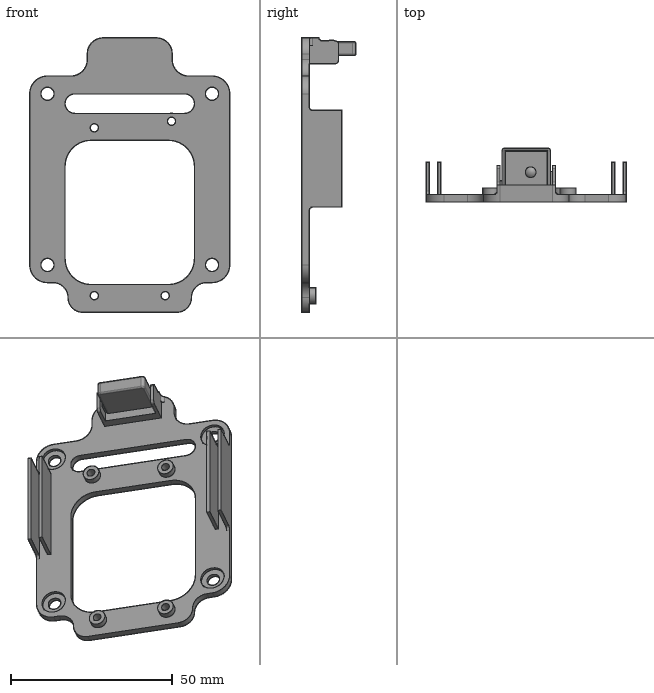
import cadquery as cq
import math

plate_width = 62.0
plate_height = 85.0
plate_thickness = 2.4
shoulder_bottom = 9.2
shoulder_top = 73.2
corner_radius = 5.5
top_tab_half_width = 13.2
top_tab_radius = 5.0
bottom_tab_half_width = 19.1
bottom_tab_radius = 4.6

mount_hole_diameter = 4.0
counterbore_diameter = 7.5
mount_hole_floor = 1.4
opening_width = 39.95
slot_height = 5.95
slot_z = 64.6
window_bottom = 8.7
window_top = 53.2
window_radius = 8.0

boss_diameter = 5.0
boss_height = 2.0
pilot_diameter = 2.5
boss_x = 11.0
boss_z = 5.2
boss_centers = [(-boss_x, boss_z), (boss_x, boss_z), (-boss_x, 57.1), (12.9, 59.2)]

wall_thickness = 1.0
guide_depth = 10.0
guide_bottom = 32.55
guide_length = 30.0
guide_gap = 2.55
root_radius = 1.0

holder_half_width = 9.1
holder_back = 11.4
holder_height = 8.1
holder_step = 0.9
holder_radius = 1.0
bridge_back = 5.35
holder_root_height = 2.4
left_web_back = 6.6
right_web_back = 9.5

plug_half_width = 7.6
plug_back = 16.75
plug_drop = 1.2
plug_height = 4.3
plug_corner_radius = 1.0
plug_edge_radius = 0.5
panel_half_width = 6.4
panel_back = 15.7
panel_depth = 0.25
dome_x = 1.4
dome_y = 9.3
dome_diameter = 3.3
dome_height = 0.8

half_width = plate_width / 2
plate_middle = plate_height / 2


def box(x_range, y_range, z_range):
    """Block spanning the given (low, high) range along each axis."""
    ranges = (x_range, y_range, z_range)
    sizes = [high - low for low, high in ranges]
    return cq.Workplane("XY").box(*sizes, centered=False).translate(tuple(low for low, high in ranges))


def rear_plane(y=0.0):
    """Sketch plane at the given y whose extrusions grow towards +Y; its local axes are (-X, Z)."""
    return cq.Workplane(cq.Plane(origin=(0, y, 0), xDir=(-1, 0, 0), normal=(0, 1, 0)))


def rear_cylinders(centers, diameter, y, length):
    """Cylinders along +Y at the given (x, z) centers."""
    points = [(-x, z) for x, z in centers]
    return rear_plane(y).pushPoints(points).circle(diameter / 2).extrude(length)


def make_holder_root(side):
    """Concave fillet between the plate's rear face and the outside of a cheek, along its top end."""
    strip = box((0, root_radius), (0, root_radius), (0, holder_root_height))
    relief = cq.Workplane("XY").center(root_radius, root_radius).circle(root_radius)
    strip = strip.cut(relief.extrude(holder_root_height))
    if side < 0:
        strip = strip.mirror("YZ")
    return strip.translate((side * holder_half_width, plate_thickness, plate_height - holder_root_height))


def make_outline(depth):
    """Frame outline with its top and bottom tabs, extruded to the given depth."""
    body = rear_plane().center(0, (shoulder_bottom + shoulder_top) / 2)
    body = body.rect(plate_width, shoulder_top - shoulder_bottom).extrude(depth)
    body = body.edges("|Y").fillet(corner_radius)
    tabs = (
        (top_tab_half_width, (plate_middle, plate_height), ">Z", top_tab_radius, shoulder_top, 1),
        (bottom_tab_half_width, (0, plate_middle), "<Z", bottom_tab_radius, shoulder_bottom, -1),
    )
    for tab_half_width, z_range, tab_end, radius, shoulder, outward in tabs:
        tab = box((-tab_half_width, tab_half_width), (0, depth), z_range)
        body = body.union(tab.faces(tab_end).edges("|Y").fillet(radius))
        body = body.union(make_tab_roots(tab_half_width, radius, shoulder, outward, depth))
    return body


def make_tab_roots(tab_half_width, radius, shoulder, outward, depth):
    """Concave fillets where a tab leaves the shoulders; outward is 1 for up, -1 for down."""
    roots = cq.Workplane("XY")
    center_z = shoulder + outward * radius
    for side in (-1, 1):
        center_x = side * (tab_half_width + radius)
        x_range = sorted((side * tab_half_width, center_x))
        root = box(x_range, (0, depth), sorted((shoulder, center_z)))
        roots = roots.add(root.cut(rear_cylinders([(center_x, center_z)], 2 * radius, 0, depth)))
    return roots.combine()


def make_plate():
    """Frame with its slot, window and mounting holes, which are counterbored from the rear."""
    plate = make_outline(plate_thickness)
    slot = rear_plane().center(0, slot_z).slot2D(opening_width, slot_height).extrude(plate_thickness)
    window = box(
        (-opening_width / 2, opening_width / 2),
        (0, plate_thickness),
        (window_bottom, window_top),
    )
    window = window.edges("|Y").fillet(window_radius)
    hole_x = half_width - corner_radius
    hole_heights = (shoulder_bottom + corner_radius, shoulder_top - corner_radius)
    hole_centers = [(x, z) for x in (-hole_x, hole_x) for z in hole_heights]
    holes = rear_cylinders(hole_centers, mount_hole_diameter, 0, plate_thickness)
    counterbores = rear_cylinders(
        hole_centers, counterbore_diameter, mount_hole_floor, plate_thickness - mount_hole_floor
    )
    return plate.cut(slot).cut(window).cut(holes).cut(counterbores)


def make_outer_guide():
    """Wall on the left edge of the plate, flared at its root."""
    back = plate_thickness + guide_depth
    root = plate_thickness + root_radius
    top = guide_bottom + guide_length
    bend = root_radius * (1 - math.sqrt(0.5))
    profile = (
        cq.Workplane("YZ")
        .moveTo(plate_thickness, guide_bottom - root_radius)
        .threePointArc((plate_thickness + bend, guide_bottom - bend), (root, guide_bottom))
        .lineTo(back, guide_bottom)
        .lineTo(back, top)
        .lineTo(root, top)
        .threePointArc((plate_thickness + bend, top + bend), (plate_thickness, top + root_radius))
        .close()
    )
    return profile.extrude(wall_thickness).translate((-half_width, 0, 0))


def make_guides():
    """Outer and inner guide walls on both sides of the frame."""
    inner_x = -half_width + wall_thickness + guide_gap
    inner = box(
        (inner_x, inner_x + wall_thickness),
        (plate_thickness, plate_thickness + guide_depth),
        (guide_bottom, guide_bottom + guide_length),
    )
    left = make_outer_guide().add(inner)
    return left.add(left.mirror("YZ")).combine()


def make_holder_cheek():
    """Side cheek of the plug holder, stepped down behind the bridge, in its place on the left."""
    bottom = plate_height - holder_height
    step_z = plate_height - holder_step
    bend = holder_radius * (1 - math.sqrt(0.5))
    rise_y = bridge_back + holder_step
    profile = (
        cq.Workplane("YZ")
        .moveTo(plate_thickness, bottom)
        .lineTo(holder_back - holder_radius, bottom)
        .threePointArc((holder_back - bend, bottom + bend), (holder_back, bottom + holder_radius))
        .lineTo(holder_back, step_z - holder_radius)
        .threePointArc((holder_back - bend, step_z - bend), (holder_back - holder_radius, step_z))
        .lineTo(rise_y, step_z)
        .radiusArc((bridge_back, plate_height), holder_step)
        .lineTo(plate_thickness, plate_height)
        .close()
    )
    return profile.extrude(wall_thickness).translate((-holder_half_width, 0, 0))


def make_holder():
    """Two cheeks joined by a bridge, with webs to the plug, trimmed to the rounded top tab."""
    inner_half_width = holder_half_width - wall_thickness
    z_range = (plate_height - holder_height, plate_height)
    holder = box((-inner_half_width, inner_half_width), (plate_thickness, bridge_back), z_range)
    cheek = make_holder_cheek()
    holder = holder.union(cheek).union(cheek.mirror("YZ"))
    for side in (-1, 1):
        holder = holder.union(make_holder_root(side))
    plug_top = plate_height - plug_drop
    web_range = (plug_top - plug_height + plug_edge_radius, plug_top - plug_height / 2)
    for side, web_back in ((-1, left_web_back), (1, right_web_back)):
        web_x = sorted((side * plug_half_width, side * inner_half_width))
        holder = holder.union(box(web_x, (bridge_back, web_back), web_range))
    return holder.intersect(make_outline(plug_back))


def make_plug():
    """Plug shell with softened edges, a recessed top panel and a shallow dome on the panel."""
    top = plate_height - plug_drop
    shell = box((-plug_half_width, plug_half_width), (bridge_back, plug_back), (top - plug_height, top))
    shell = shell.edges("|Z and >Y").fillet(plug_corner_radius)
    shell = shell.faces(">Z or <Z").edges("not <Y").fillet(plug_edge_radius)
    panel_z = top - panel_depth
    recess = cq.Workplane("XY").center(0, (panel_back + bridge_back) / 2)
    recess = recess.rect(2 * panel_half_width, panel_back - bridge_back).extrude(panel_depth, taper=-45)
    shell = shell.cut(recess.translate((0, 0, panel_z)))
    dome_radius = ((dome_diameter / 2) ** 2 + dome_height ** 2) / (2 * dome_height)
    ball = cq.Workplane("XY").sphere(dome_radius)
    ball = ball.translate((dome_x, dome_y, panel_z + dome_height - dome_radius))
    dome_x_range = (dome_x - dome_diameter / 2, dome_x + dome_diameter / 2)
    dome_y_range = (dome_y - dome_diameter / 2, dome_y + dome_diameter / 2)
    dome = ball.intersect(box(dome_x_range, dome_y_range, (panel_z - panel_depth, panel_z + dome_height)))
    return shell.union(dome)


bosses = rear_cylinders(boss_centers, boss_diameter, plate_thickness, boss_height)
pilots = rear_cylinders(boss_centers, pilot_diameter, 0, plate_thickness + boss_height)

result = make_plate().union(make_guides()).union(make_holder()).union(make_plug())
result = result.union(bosses).cut(pilots)